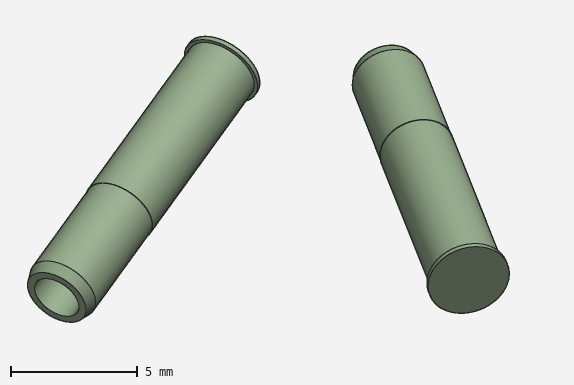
import cadquery as cq

length = 13.6
flange_diameter = 3.3
flange_thickness = 0.2

body_diameter = 3.0
front_diameter = 2.96
front_length = 5.1

tip_diameter = 2.64
tip_length = 0.5
bore_diameter = 2.0
bore_depth = front_length

tip_y = -length / 2
flange_y = length / 2

half_section = [
    (0, tip_y + bore_depth),
    (bore_diameter / 2, tip_y + bore_depth),
    (bore_diameter / 2, tip_y),
    (tip_diameter / 2, tip_y),
    (front_diameter / 2, tip_y + tip_length),
    (front_diameter / 2, tip_y + front_length),
    (body_diameter / 2, tip_y + front_length),
    (body_diameter / 2, flange_y - flange_thickness),
    (flange_diameter / 2, flange_y - flange_thickness),
    (flange_diameter / 2, flange_y),
    (0, flange_y),
]

result = cq.Workplane("XY").polyline(half_section).close().revolve(360, (0, 0, 0), (0, 1, 0))